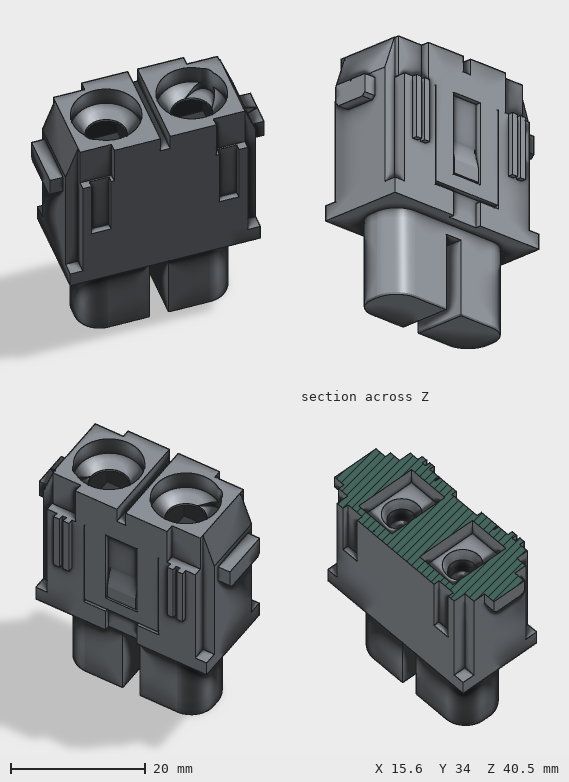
import cadquery as cq
import math


total_height = 40.5
housing_base = 14.0
half_width = 7.37
half_length = 14.95
flange_top = 16.5
column_half_width = 5.22
notch_inner_y = 12.95
bevel_bottom = 35.05
margin = 0.4

shoulder_z = 34.0
shoulder_inner_y = 8.0
left_shoulder_x = -5.95
right_shoulder_x = 6.08
back_notch_inset = 0.12

groove_half_width = 0.75
groove_floor = 37.95

tab_reach = 17.0
tab_bottom = 30.55
front_tab_half_width = 4.17
back_tab_half_width = 3.08
tab_chamfer = 0.53
arrow_half_width = 0.73
arrow_length = 1.95
arrow_depth = 0.15

rib_reach = 0.85
rib_width = 1.0
rib_bottom = 23.95
rib_centers = (9.1, 10.77)
slot_depth = 1.0
slot_inner_y = 8.5
slot_outer_y = 11.6

recess_depth = 0.9
panel_gap_half_width = 6.52
panel_half_width = 6.4
panel_bottom = 18.5
panel_gap_bottom = 17.95
window_half_width = 2.75
window_bottom = 20.75
wedge_half_width = 2.47
wedge_bottom = 21.0
wedge_shoulder = 23.3
wedge_top = 26.53
wedge_height = 0.8

plug_half_width = 4.58
plug_half_length = 12.0
plug_radius = 3.95
plug_edge_height = 0.3
plug_edge_inset = 0.1
plug_slot_half_width = 1.5
plug_slot_top = 12.25

opening_y = 6.72
mouth_radius = 5.3
throat_radius = 3.15
lip_radius = 3.05
mouth_depth = 3.05
cone_height = 1.25
lip_height = 0.2
cone_top = total_height - mouth_depth
cone_bottom = cone_top - cone_height
lip_bottom = cone_bottom - lip_height
key_base_radius = 2.75
key_radius = 1.8
key_offset = 3.73
keyway_angle = 135.0

chamber_half_width = 5.25
chamber_half_length = 3.65
chamber_floor = 30.38
well_radius = 2.23
well_funnel_height = 1.4
well_funnel_bottom = chamber_floor - well_funnel_height
well_floor = 24.3
pin_radius = 2.0
pin_shoulder = 26.75
pin_tip = 28.75


def block(x_min, x_max, y_min, y_max, z_min, z_max):
    """Box between two limits along each axis."""
    return (
        cq.Workplane("XY")
        .box(x_max - x_min, y_max - y_min, z_max - z_min, centered=False)
        .translate((x_min, y_min, z_min))
    )


def mirrored_block(inner_y, outer_y, x_min, x_max, z_min, z_max):
    """Pair of equal boxes on the -Y and +Y sides."""
    front = block(x_min, x_max, -outer_y, -inner_y, z_min, z_max)
    return front.union(block(x_min, x_max, inner_y, outer_y, z_min, z_max))


def make_housing():
    """Housing with bevelled ends, notched corners, shoulders and top groove."""
    body = (
        cq.Workplane("YZ")
        .moveTo(-half_length, housing_base)
        .lineTo(half_length, housing_base)
        .lineTo(half_length, bevel_bottom)
        .lineTo(notch_inner_y, total_height)
        .lineTo(-notch_inner_y, total_height)
        .lineTo(-half_length, bevel_bottom)
        .close()
        .extrude(half_width, both=True)
    )
    outer_x = half_width + margin
    outer_y = half_length + margin
    top = total_height + margin
    for x_min, x_max in ((-outer_x, -column_half_width), (column_half_width, outer_x)):
        body = body.cut(mirrored_block(notch_inner_y, outer_y, x_min, x_max, flange_top, top))
    for x_min, x_max in ((-outer_x, left_shoulder_x), (right_shoulder_x, outer_x)):
        body = body.cut(
            mirrored_block(shoulder_inner_y, notch_inner_y, x_min, x_max, shoulder_z, top)
        )
    groove = block(-outer_x, outer_x, -groove_half_width, groove_half_width, groove_floor, top)
    back_step = block(
        -outer_x, -column_half_width, notch_inner_y - back_notch_inset, outer_y, shoulder_z, top
    )
    return body.cut(groove).cut(back_step)


def make_tab(half_tab_width):
    """End tab pointing to +Y with chamfered lower edges."""
    tab = block(
        -half_tab_width, half_tab_width, notch_inner_y, tab_reach, tab_bottom, shoulder_z
    )
    return tab.faces("<Z").edges("|Y").chamfer(tab_chamfer)


def make_arrow():
    """Shallow triangular mark in the top of the back tab, pointing to +Y."""
    return (
        cq.Workplane("XY", origin=(0, 0, shoulder_z - arrow_depth))
        .moveTo(0, tab_reach)
        .lineTo(-arrow_half_width, tab_reach - arrow_length)
        .lineTo(arrow_half_width, tab_reach - arrow_length)
        .close()
        .extrude(arrow_depth)
    )


def add_coding(body):
    """Ribs on the -X side and the slots for a neighbour's ribs on the +X side."""
    for center in rib_centers:
        body = body.union(mirrored_block(
            center - rib_width / 2, center + rib_width / 2,
            -half_width - rib_reach, -half_width, rib_bottom, shoulder_z,
        ))
    slots = mirrored_block(
        slot_inner_y, slot_outer_y, half_width - slot_depth, half_width, rib_bottom, shoulder_z
    )
    return body.cut(slots)


def cut_latch_panel(body):
    """Gap around the panel, its window with the latch wedge, and the slot below."""
    face_x = -half_width
    floor_x = face_x + recess_depth
    gap = block(
        face_x, floor_x, -panel_gap_half_width, panel_gap_half_width, panel_gap_bottom, shoulder_z
    )
    panel = block(face_x, floor_x, -panel_half_width, panel_half_width, panel_bottom, shoulder_z)
    window = block(
        face_x, floor_x, -window_half_width, window_half_width, window_bottom, shoulder_z
    )
    lower_slot = block(
        face_x, floor_x, -window_half_width, window_half_width, housing_base, panel_gap_bottom
    )
    wedge = (
        cq.Workplane("XZ")
        .moveTo(floor_x, wedge_bottom)
        .lineTo(floor_x - wedge_height, wedge_bottom)
        .lineTo(floor_x - wedge_height, wedge_shoulder)
        .lineTo(floor_x, wedge_top)
        .close()
        .extrude(wedge_half_width, both=True)
    )
    return body.cut(gap.cut(panel)).cut(window).cut(lower_slot).union(wedge)


def make_plug():
    """Rounded plug under the housing, split by a slot open at the bottom."""
    plug = block(
        -plug_half_width, plug_half_width, -plug_half_length, plug_half_length, 0, housing_base
    )
    plug = plug.edges("|Z").fillet(plug_radius)
    plug = plug.cut(block(
        -half_width, half_width, -plug_slot_half_width, plug_slot_half_width, 0, plug_slot_top
    ))
    bottom_edges = plug.faces("<Z").edges()
    return bottom_edges.chamfer(plug_edge_height, plug_edge_inset)


def make_opening():
    """Cavity on the Z axis: mouth, keyway to -X +Y, chamber and pin well."""
    bore = (
        cq.Workplane("XZ")
        .moveTo(0, total_height)
        .lineTo(mouth_radius, total_height)
        .lineTo(mouth_radius, cone_top)
        .lineTo(throat_radius, cone_bottom)
        .lineTo(lip_radius, lip_bottom)
        .lineTo(lip_radius, chamber_floor)
        .lineTo(well_radius, well_funnel_bottom)
        .lineTo(well_radius, well_floor)
        .lineTo(pin_radius, well_floor)
        .lineTo(pin_radius, pin_shoulder)
        .lineTo(0, pin_tip)
        .close()
        .revolve(360, (0, 0, 0), (0, 1, 0))
    )
    chamber = block(
        -chamber_half_width, chamber_half_width,
        -chamber_half_length, chamber_half_length, chamber_floor, lip_bottom,
    )
    return bore.union(chamber).union(make_keyway())


def make_keyway():
    """Teardrop prism: common tangents of a base circle and a smaller tip circle."""
    tangent = math.acos((key_base_radius - key_radius) / key_offset)
    tangent_x = math.cos(tangent)
    tangent_y = math.sin(tangent)
    return (
        cq.Workplane("XY", origin=(0, 0, cone_bottom))
        .moveTo(key_base_radius * tangent_x, key_base_radius * tangent_y)
        .lineTo(key_offset + key_radius * tangent_x, key_radius * tangent_y)
        .threePointArc(
            (key_offset + key_radius, 0),
            (key_offset + key_radius * tangent_x, -key_radius * tangent_y),
        )
        .lineTo(key_base_radius * tangent_x, -key_base_radius * tangent_y)
        .threePointArc(
            (-key_base_radius, 0),
            (key_base_radius * tangent_x, key_base_radius * tangent_y),
        )
        .close()
        .extrude(total_height - cone_bottom)
        .rotate((0, 0, 0), (0, 0, 1), keyway_angle)
    )


front_tab = make_tab(front_tab_half_width).rotate((0, 0, 0), (0, 0, 1), 180)
back_tab = make_tab(back_tab_half_width).cut(make_arrow())

result = make_housing().union(front_tab).union(back_tab)
result = cut_latch_panel(add_coding(result)).union(make_plug())

first_opening = make_opening().translate((0, opening_y, 0))
for turn in (0, 180):
    result = result.cut(first_opening.rotate((0, 0, 0), (0, 0, 1), turn))